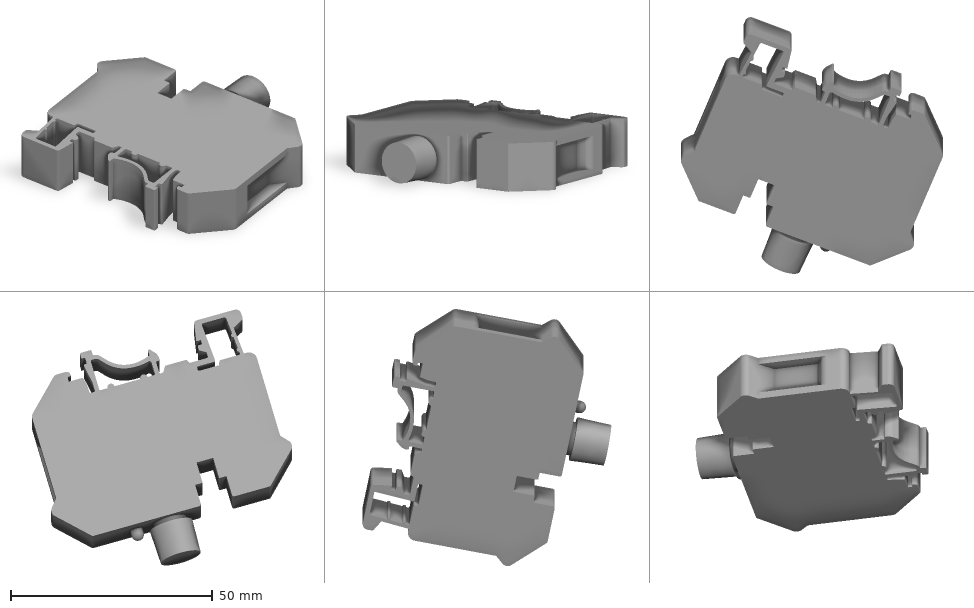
import cadquery as cq
import math


length = 62.2
thickness = 12.2
mid_x = length / 2
mid_z = thickness / 2
top_y = 46.0

crisp_radius = 0.2
edge_radius = 0.3
inner_radius = 0.4
bend_radius = 0.5

wall_x = 2.1
neck_y = 34.2
nose_y = 37.3
nose_overhang = 0.6
shoulder_x = top_y - nose_y - nose_overhang
shoulder_angle = math.radians(45)
neck_angle = math.atan2(nose_y - neck_y, wall_x + nose_overhang)
nose_half_angle = (shoulder_angle + neck_angle) / 2
nose_tilt = (shoulder_angle - neck_angle) / 2
nose_radius = nose_overhang / (math.cos(nose_tilt) / math.sin(nose_half_angle) - 1)
right_wall_x = length - wall_x

notch_left, notch_right = 17.85, 25.95
notch_step_y = 40.5
slot_left, slot_right = 19.7, 24.0
slot_floor_y = 35.1
notch_lip_radius = 0.55

housing_bottom_y = 11.45
left_bottom_radius = 2.1
rail_seat_y = 9.0
relief_y = 10.0
foot_root_y = 10.6
seat_start_x, seat_left = 18.6, 19.1
seat_right, seat_end_x = 24.65, 25.55

latch_root_x = 4.9
latch_knee_x, latch_knee_y = 5.55, 4.4
latch_tip_x, latch_tip_y = 2.7, 2.85
latch_tip_radius = 1.4
latch_barb_radius = 0.6
latch_heel_x, latch_heel_radius = 14.55, 0.75
latch_jaw_x = 15.4
jaw_slit_x, jaw_slit_bottom, jaw_slit_top = 14.25, 5.15, 6.3
jaw_top_y = 7.6
latch_back_x, latch_back_y = 13.75, 8.6

window_left_top, window_left_bottom = 5.85, 6.65
window_right_top, window_right_bottom = 12.25, 12.95
window_floor_y = 1.2
slit_left, slit_right, slit_top = 11.3, 17.1, 12.6
window_bead_radius = 0.45
window_bead_heights = (6.15, 10.15)

foot_left_x = 26.5
foot_wall = 1.1
foot_inner_left = foot_left_x + foot_wall
foot_right_x = 43.15
foot_inner_right = foot_right_x - foot_wall
claw_x, claw_top_y = 25.5, 7.35
claw_belly_y = 5.8
claw_belly_radius = 2.5
claw_tip_x, claw_tip_y = 27.1, 3.9
arch_start_y = 5.35
arch_level_x = 29.9
arch_top_y = 6.3
arch_radius = 8.1
arch_lead_radius = 10.6
arch_wall = 0.95
arch_centre_x = 32.1
arch_foot_radius = 1.55
arch_angle = math.radians(48)
toe_left, toe_right = 41.1, 44.1
toe_web_y = 1.5
toe_slit_top = 3.1
foot_taper_y = 8.1
foot_bead_radius = 0.95
foot_bead_xs = (30.55, 39.05)

gap_right_x = 44.55
gap_bend_x, gap_bend_y = 44.65, 8.3
hook_left_x = 45.1
hook_roof_y = 6.3
hook_throat_x, hook_lip_y = 48.75, 5.05
hook_tip_x = 47.85
hook_bottom_y = 3.7
hook_tip_radius = 1.0
hook_slope_x = 51.7
hook_slope_radius = 1.25
slope_end_y = hook_bottom_y + right_wall_x - hook_slope_x
slope_end_radius = 1.55

pocket_width = 8.45
pocket_floor_y = 30.7
pocket_depth = (neck_y - pocket_floor_y) / math.tan(neck_angle)
pocket_step_y = 19.8
pocket_bend_y = 18.65
pocket_bottom_y = 16.85
pocket_lip_depth = 1.75
pocket_lip_radius = 1.85

knob_x = 34.15
knob_neck_radius = 4.2
knob_bottom_y, knob_rim_y, knob_top_y = 47.4, 48.0, 56.0
knob_rim_radius, knob_top_radius = 5.5, 5.15
pin_x = 42.8
pin_radius = 1.55
pin_shoulder_y = 47.3
stem_embed = 1.25


def rounded_outline(corners):
    """Closed wire through (x, y, radius) corners, each corner rounded by its radius."""
    legs = []
    for i, (x, y, radius) in enumerate(corners):
        before, after = corners[i - 1], corners[(i + 1) % len(corners)]
        in_angle = math.atan2(before[1] - y, before[0] - x)
        out_angle = math.atan2(after[1] - y, after[0] - x)
        half = abs(math.remainder(out_angle - in_angle, 2 * math.pi)) / 2
        if radius == 0:
            legs.append(((x, y),))
            continue
        reach = radius / math.tan(half)
        start = (x + reach * math.cos(in_angle), y + reach * math.sin(in_angle))
        end = (x + reach * math.cos(out_angle), y + reach * math.sin(out_angle))
        bisector = in_angle + math.remainder(out_angle - in_angle, 2 * math.pi) / 2
        sag = radius / math.sin(half) - radius
        middle = (x + sag * math.cos(bisector), y + sag * math.sin(bisector))
        legs.append((start, middle, end))

    wire = cq.Workplane("XY").moveTo(*legs[0][-1])
    for leg in legs[1:]:
        wire = wire.lineTo(*leg[0])
        if len(leg) == 3:
            wire = wire.threePointArc(leg[1], leg[2])
    if len(legs[0]) == 3:
        wire = wire.lineTo(*legs[0][0]).threePointArc(legs[0][1], legs[0][2])
    return wire.close()


def plate(corners):
    """Full-thickness plate with the given rounded outline."""
    return rounded_outline(corners).extrude(thickness)


def beads(centres, radius):
    """Full-thickness round ribs."""
    return cq.Workplane("XY").pushPoints(centres).circle(radius).extrude(thickness)


def arch_corner(offset, level):
    """X where the descending line of the arch, offset outward, crosses a given level."""
    radius = arch_radius + offset
    centre_y = arch_top_y - arch_radius
    touch_x = arch_centre_x + radius * math.sin(arch_angle)
    touch_y = centre_y + radius * math.cos(arch_angle)
    return touch_x + (touch_y - level) / math.tan(arch_angle)


left_end = [
    (shoulder_x, top_y, edge_radius),
    (-nose_overhang, nose_y, nose_radius),
    (wall_x, neck_y, 0),
    (wall_x, housing_bottom_y, left_bottom_radius),
]
latch = [
    (latch_root_x, housing_bottom_y, crisp_radius),
    (latch_knee_x, latch_knee_y, 0),
    (latch_tip_x, latch_tip_y, latch_barb_radius),
    (latch_tip_x, 0, latch_tip_radius),
    (latch_heel_x, 0, latch_heel_radius),
    (latch_jaw_x, jaw_slit_bottom, 0),
    (jaw_slit_x, jaw_slit_bottom, 0),
    (jaw_slit_x, jaw_slit_top, crisp_radius),
    (latch_jaw_x, jaw_slit_top, edge_radius),
    (latch_jaw_x, jaw_top_y, crisp_radius),
    (latch_back_x, latch_back_y, crisp_radius),
]
rail_seat = [
    (latch_back_x, relief_y, inner_radius),
    (seat_start_x, relief_y, crisp_radius),
    (seat_left, rail_seat_y, crisp_radius),
    (seat_right, rail_seat_y, crisp_radius),
    (seat_end_x, foot_root_y, inner_radius),
]
foot = [
    (foot_left_x, foot_root_y, edge_radius),
    (foot_left_x, claw_top_y, 0),
    (claw_x, claw_top_y, bend_radius),
    (claw_x, claw_belly_y, claw_belly_radius),
    (claw_tip_x, claw_tip_y, edge_radius),
    (foot_inner_left, claw_tip_y, edge_radius),
    (foot_inner_left, arch_start_y, 0),
    (arch_level_x, arch_top_y, arch_lead_radius),
    (arch_corner(0, arch_top_y), arch_top_y, arch_radius),
    (arch_corner(0, toe_web_y), toe_web_y, arch_foot_radius),
    (toe_left, toe_web_y, edge_radius),
    (toe_left, 0, edge_radius),
    (toe_right, 0, edge_radius),
    (toe_right, toe_web_y, 0),
    (foot_right_x, toe_web_y, 0),
    (foot_right_x, toe_slit_top, 0),
    (toe_right, toe_slit_top, edge_radius),
    (foot_right_x, foot_taper_y, 0),
]
hook = [
    (foot_right_x, foot_root_y, inner_radius),
    (gap_right_x, foot_root_y, inner_radius),
    (gap_bend_x, gap_bend_y, 0),
    (hook_left_x, hook_roof_y, edge_radius),
    (hook_throat_x, hook_roof_y, 0),
    (hook_throat_x, hook_lip_y, edge_radius),
    (hook_tip_x, hook_lip_y, 0),
    (hook_tip_x, hook_bottom_y, hook_tip_radius),
    (hook_slope_x, hook_bottom_y, hook_slope_radius),
]
right_end = [
    (right_wall_x, slope_end_y, slope_end_radius),
    (right_wall_x, neck_y, 0),
    (length + nose_overhang, nose_y, nose_radius),
    (length - shoulder_x, top_y, edge_radius),
]
notch = [
    (notch_right, top_y, notch_lip_radius),
    (notch_right, notch_step_y, 0),
    (slot_right, notch_step_y, crisp_radius),
    (slot_right, slot_floor_y, 0),
    (slot_left, slot_floor_y, 0),
    (slot_left, notch_step_y, crisp_radius),
    (notch_left, notch_step_y, 0),
    (notch_left, top_y, notch_lip_radius),
]
housing = plate(left_end + latch + rail_seat + foot + hook + right_end + notch)

latch_window = plate([
    (window_left_top, housing_bottom_y, edge_radius),
    (slit_left, housing_bottom_y, inner_radius),
    (slit_left, slit_top, bend_radius),
    (slit_right, slit_top, inner_radius),
    (slit_right, housing_bottom_y, inner_radius),
    (window_right_top, housing_bottom_y, inner_radius),
    (window_right_bottom, window_floor_y, edge_radius),
    (window_left_bottom, window_floor_y, bend_radius),
])


def window_left_x(y):
    """X of the slanted left side of the latch window at height y."""
    share = (y - window_floor_y) / (housing_bottom_y - window_floor_y)
    return window_left_bottom + share * (window_left_top - window_left_bottom)


latch_beads = beads([(window_left_x(y), y) for y in window_bead_heights], window_bead_radius)

inner_arch_y = arch_top_y + arch_wall
inner_level_x, inner_lead_radius = 30.15, 9.95
inner_start_y, inner_start_radius = 6.65, 0.55
foot_floor_y, foot_floor_radius = 2.5, 1.25
foot_window = plate([
    (foot_inner_left, foot_root_y, edge_radius),
    (foot_inner_left, inner_start_y, inner_start_radius),
    (inner_level_x, inner_arch_y, inner_lead_radius),
    (arch_corner(arch_wall, inner_arch_y), inner_arch_y, arch_radius + arch_wall),
    (arch_corner(arch_wall, foot_floor_y), foot_floor_y, foot_floor_radius),
    (foot_inner_right, foot_floor_y, edge_radius),
    (foot_inner_right, foot_root_y, edge_radius),
])
foot_beads = beads([(x, foot_root_y) for x in foot_bead_xs], foot_bead_radius)

housing = housing.cut(latch_window).cut(foot_window).union(latch_beads).union(foot_beads)

floor_x = wall_x + pocket_depth
left_pocket = (
    cq.Workplane("XY", origin=(0, 0, mid_z - pocket_width / 2))
    .moveTo(wall_x, neck_y)
    .lineTo(floor_x, pocket_floor_y)
    .lineTo(floor_x, pocket_step_y)
    .lineTo(wall_x + pocket_lip_depth, pocket_bend_y)
    .radiusArc((wall_x, pocket_bottom_y), -pocket_lip_radius)
    .close()
    .extrude(pocket_width)
)
right_pocket = left_pocket.mirror("YZ", (mid_x, 0, 0))
housing = housing.cut(left_pocket).cut(right_pocket)

stem_y = top_y - stem_embed
knob = (
    cq.Workplane("XY", origin=(knob_x, 0, mid_z))
    .moveTo(0, stem_y)
    .lineTo(knob_neck_radius, stem_y)
    .lineTo(knob_neck_radius, knob_bottom_y)
    .lineTo(knob_rim_radius, knob_bottom_y)
    .lineTo(knob_rim_radius, knob_rim_y)
    .lineTo(knob_top_radius, knob_top_y)
    .lineTo(0, knob_top_y)
    .close()
    .revolve(360, (0, 0, 0), (0, 1, 0))
)
pin_arc = pin_radius * math.sqrt(0.5)
pin = (
    cq.Workplane("XY", origin=(pin_x, 0, mid_z))
    .moveTo(0, stem_y)
    .lineTo(pin_radius, stem_y)
    .lineTo(pin_radius, pin_shoulder_y)
    .threePointArc((pin_arc, pin_shoulder_y + pin_arc), (0, pin_shoulder_y + pin_radius))
    .close()
    .revolve(360, (0, 0, 0), (0, 1, 0))
)

result = housing.union(knob).union(pin)